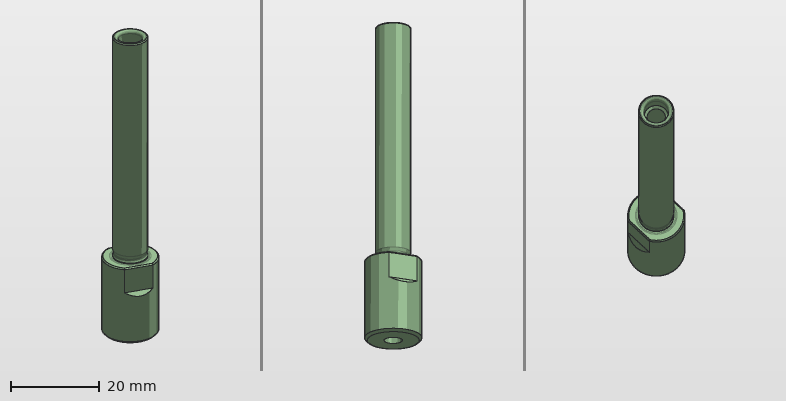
import cadquery as cq
import math

total_length = 75.0
head_diameter = 13.0
head_height = 19.1
tube_diameter = 8.0

bottom_chamfer = 0.6
head_top_chamfer = 0.3
tube_top_chamfer = 0.26

neck_diameter = 7.6
neck_top = 21.0
neck_taper_angle = 15.0
undercut_radius = 0.75
undercut_exit_angle = 12.0

flat_width = 11.0
flat_bottom = 13.0

bore_diameter = 4.1
counterbore_diameter = 5.5
counterbore_bottom = 72.0
counterbore_floor_angle = 60.0
mouth_rounding = 0.75

head_radius = head_diameter / 2
tube_radius = tube_diameter / 2
neck_radius = neck_diameter / 2
bore_radius = bore_diameter / 2
counterbore_radius = counterbore_diameter / 2


def make_head():
    """Head cylinder with wrench flats and broken top and bottom edges."""
    head = cq.Workplane("XY").circle(head_radius).extrude(head_height)
    head = head.faces("<Z").chamfer(bottom_chamfer)
    for side in (-1, 1):
        head = head.cut(make_flat_cut(side))
    return head.faces(">Z").chamfer(head_top_chamfer)


def make_tube():
    """Plain tube blank rising from the base through the head."""
    tube = cq.Workplane("XY").circle(tube_radius).extrude(total_length)
    return tube.faces(">Z").chamfer(tube_top_chamfer)


def make_undercut():
    """Ring cutter for the tapered neck and its root arc, which dips slightly into the head face."""
    taper_height = (tube_radius - neck_radius) / math.tan(math.radians(neck_taper_angle))
    arc_center_x = neck_radius + undercut_radius
    exit_angle = math.radians(undercut_exit_angle)
    arc_center_z = head_height + undercut_radius * math.cos(exit_angle)
    arc_end_x = arc_center_x + undercut_radius * math.sin(exit_angle)
    arc_offset = undercut_radius * math.sqrt(0.5)
    return (
        cq.Workplane("XZ")
        .moveTo(arc_end_x, head_height)
        .threePointArc(
            (arc_center_x - arc_offset, arc_center_z - arc_offset),
            (neck_radius, arc_center_z),
        )
        .lineTo(neck_radius, neck_top - taper_height)
        .lineTo(tube_radius, neck_top)
        .lineTo(arc_end_x, neck_top)
        .close()
        .revolve(360, (0, 0, 0), (0, 1, 0))
    )


def make_bore():
    """Through bore with a cone-floored counterbore and a rounded mouth."""
    floor_drop = (counterbore_radius - bore_radius) / math.tan(math.radians(counterbore_floor_angle))
    arc_inset = mouth_rounding * (1 - math.sqrt(0.5))
    return (
        cq.Workplane("XZ")
        .moveTo(0, 0)
        .lineTo(bore_radius, 0)
        .lineTo(bore_radius, counterbore_bottom - floor_drop)
        .lineTo(counterbore_radius, counterbore_bottom)
        .lineTo(counterbore_radius, total_length - mouth_rounding)
        .threePointArc(
            (counterbore_radius + arc_inset, total_length - arc_inset),
            (counterbore_radius + mouth_rounding, total_length),
        )
        .lineTo(0, total_length)
        .close()
        .revolve(360, (0, 0, 0), (0, 1, 0))
    )


def make_flat_cut(side):
    """Cutter for one wrench flat with a 45 degree run-out; side is +1 or -1 along X."""
    flat_x = flat_width / 2
    runout = head_radius - flat_x
    return (
        cq.Workplane("XZ")
        .moveTo(side * flat_x, head_height)
        .lineTo(side * flat_x, flat_bottom)
        .lineTo(side * head_radius, flat_bottom - runout)
        .lineTo(side * head_radius, head_height)
        .close()
        .extrude(head_radius, both=True)
    )


result = make_head().union(make_tube()).cut(make_undercut()).cut(make_bore())